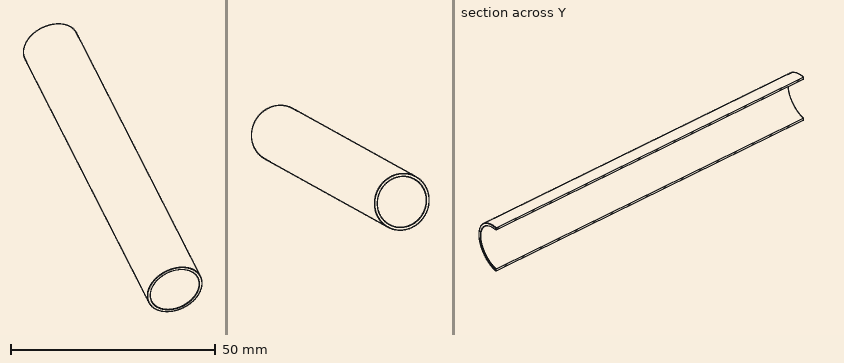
import cadquery as cq

tube_length = 93.75
outer_diameter = 14.2
bore_diameter = 12.6

edge_chamfer = 0.1

tube = (
    cq.Workplane("YZ")
    .circle(outer_diameter / 2)
    .circle(bore_diameter / 2)
    .extrude(tube_length)
)

result = tube.faces("<X or >X").edges().chamfer(edge_chamfer)